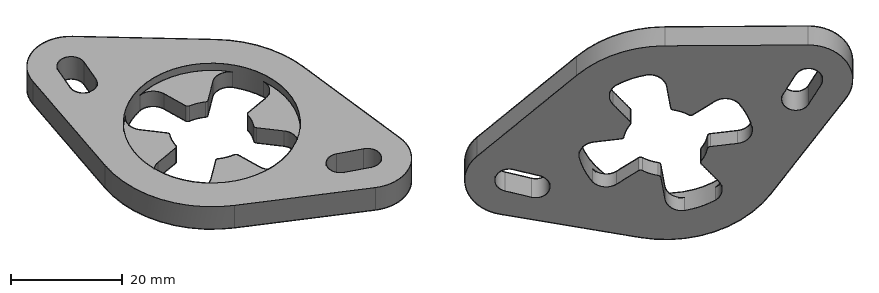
import cadquery as cq
import math

thickness = 5.5
body_radius = 22.19
overall_length = 74.29
ear_radius = 7.95
ear_x = overall_length / 2 - ear_radius
ear_y = 3.18

slot_width = 5.1
slot_travel = 5.0
slot_angle = 40.0

bore_diameter = 31.75
bore_radius = bore_diameter / 2
recess_depth = 1.75
tooth_height = thickness - recess_depth
tooth_root_overlap = 0.5

lobe_count = 4
bore_clearance = 0.01
lobe_reach = bore_radius + bore_clearance
lobe_flank_angle = 14.8
lobe_flank_offset = 2.1
lobe_corner_radius = 3.1
tooth_tip_radius = 7.6
tooth_corner_radius = 0.6


def flank_tangent_points(side):
    """Ends of a +X flank, on the body and on the ear; side is +1 for upper, -1 for lower."""
    center_distance = math.hypot(ear_x, ear_y)
    ear_direction = math.atan2(ear_y, ear_x)
    normal_angle = ear_direction + side * math.acos((body_radius - ear_radius) / center_distance)
    normal_x = math.cos(normal_angle)
    normal_y = math.sin(normal_angle)
    on_body = (body_radius * normal_x, body_radius * normal_y)
    on_ear = (ear_x + ear_radius * normal_x, ear_y + ear_radius * normal_y)
    return on_body, on_ear


def mirrored(point):
    return (-point[0], point[1])


def make_plate():
    upper_body, upper_ear = flank_tangent_points(1)
    lower_body, lower_ear = flank_tangent_points(-1)
    ear_tip = (ear_x + ear_radius, ear_y)
    return (
        cq.Workplane("XY")
        .moveTo(*upper_body)
        .lineTo(*upper_ear)
        .threePointArc(ear_tip, lower_ear)
        .lineTo(*lower_body)
        .threePointArc((0, -body_radius), mirrored(lower_body))
        .lineTo(*mirrored(lower_ear))
        .threePointArc(mirrored(ear_tip), mirrored(upper_ear))
        .lineTo(*mirrored(upper_body))
        .threePointArc((0, body_radius), upper_body)
        .close()
        .extrude(thickness)
    )


def make_slot(side):
    """Slot cutter for the ear on the +X (side = 1) or -X (side = -1) end."""
    angle = math.radians(slot_angle)
    middle_x = side * (ear_x - slot_travel / 2 * math.cos(angle))
    middle_y = ear_y - slot_travel / 2 * math.sin(angle)
    return (
        cq.Workplane("XY")
        .center(middle_x, middle_y)
        .slot2D(slot_travel + slot_width, slot_width, side * slot_angle)
        .extrude(thickness)
    )


def make_disc(radius, height):
    return cq.Workplane("XY").circle(radius).extrude(height)


def make_lobe():
    """One lobe of the opening along +Y: flared flanks, rounded into a circular end."""
    wedge_length = lobe_reach + lobe_corner_radius
    outer_half_width = lobe_flank_offset + wedge_length * math.tan(math.radians(lobe_flank_angle))
    wedge = (
        cq.Workplane("XY")
        .moveTo(-lobe_flank_offset, 0)
        .lineTo(lobe_flank_offset, 0)
        .lineTo(outer_half_width, wedge_length)
        .lineTo(-outer_half_width, wedge_length)
        .close()
        .extrude(tooth_height)
    )
    lobe = wedge.intersect(make_disc(lobe_reach, tooth_height))
    return lobe.edges("|Z and (<X or >X)").fillet(lobe_corner_radius)


def make_teeth():
    """Ring carrying the four teeth; its rim is embedded in the plate around the bore."""
    teeth = make_disc(bore_radius + tooth_root_overlap, tooth_height)
    teeth = teeth.cut(make_disc(tooth_tip_radius, tooth_height))
    lobe = make_lobe()
    for index in range(lobe_count):
        teeth = teeth.cut(lobe.rotate((0, 0, 0), (0, 0, 1), index * 360 / lobe_count))
    tooth_zone = cq.selectors.BoxSelector(
        (-tooth_tip_radius, -tooth_tip_radius, 0),
        (tooth_tip_radius, tooth_tip_radius, tooth_height),
    )
    return teeth.edges("|Z").edges(tooth_zone).fillet(tooth_corner_radius)


plate = make_plate().cut(make_disc(bore_radius, thickness))
for side in (1, -1):
    plate = plate.cut(make_slot(side))
result = plate.union(make_teeth())